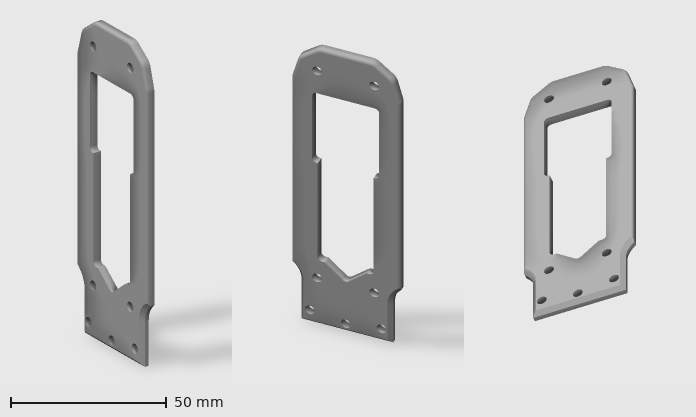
import cadquery as cq
import math

height = 113.5
width = 38.0
thickness = 3.0
half_width = width / 2

crown_half_width = 9.5
facet_corner_x = 16.6
facet_corner_drop = 5.3
facet_end_drop = 14.1
crown_radius = 4.0
facet_end_radius = 5.0

foot_half_width = 16.0
foot_top = 16.2
shoulder_radius = 8.0
shoulder_tip_radius = 1.4

rim_radius = 1.08
foot_chamfer = 1.5
chamfer_overrun = 6.8

window_top = height - 18.2
window_step = 66.6
window_bottom = 26.7
window_tip = 20.5
upper_half_width = 11.7
lower_half_width = 9.8
tip_half_width = 7.3
window_corner_radius = 1.6
window_tip_radius = 1.6

hole_diameter = 3.4
inner_hole_x = 10.0
top_hole_z = height - 9.0
shoulder_hole_z = 19.5
foot_hole_x = 12.5
foot_hole_z = 5.6
center_hole_z = 3.7

shoulder_angle = math.acos(1 - (half_width - foot_half_width) / (shoulder_radius + shoulder_tip_radius))


def shoulder_arc_point(angle):
    """Point on the right concave arc, measured from its tangent with the foot."""
    x = foot_half_width + shoulder_radius * (1 - math.cos(angle))
    z = foot_top + shoulder_radius * math.sin(angle)
    return x, z


def mirrored(point):
    return -point[0], point[1]


def vertical_edges_at(body, points):
    """Through-thickness edges standing at the given XZ points, on both sides."""
    def is_wanted(edge):
        center = edge.Center()
        return any(math.hypot(abs(center.x) - x, center.z - z) < 0.01 for x, z in points)

    return body.newObject([e for e in body.edges("|Y").vals() if is_wanted(e)])


def extrude_through(sketch):
    """Fill the plate thickness from Y = 0 to Y = thickness."""
    return sketch.extrude(-thickness)


def make_blank():
    crown = (crown_half_width, height)
    facet_corner = (facet_corner_x, height - facet_corner_drop)
    facet_end = (half_width, height - facet_end_drop)
    arc_middle = shoulder_arc_point(shoulder_angle / 2)
    arc_end = shoulder_arc_point(shoulder_angle)
    tip_middle = (
        half_width - shoulder_tip_radius * (1 - math.cos(shoulder_angle / 2)),
        arc_end[1] + shoulder_tip_radius * (math.sin(shoulder_angle) - math.sin(shoulder_angle / 2)),
    )
    side_bottom = (half_width, arc_end[1] + shoulder_tip_radius * math.sin(shoulder_angle))
    foot_corner = (foot_half_width, foot_top)
    outline = (
        cq.Workplane("XZ")
        .moveTo(-foot_half_width, 0)
        .lineTo(foot_half_width, 0)
        .lineTo(*foot_corner)
        .threePointArc(arc_middle, arc_end)
        .threePointArc(tip_middle, side_bottom)
        .lineTo(*facet_end)
        .lineTo(*facet_corner)
        .lineTo(*crown)
        .lineTo(*mirrored(crown))
        .lineTo(*mirrored(facet_corner))
        .lineTo(*mirrored(facet_end))
        .lineTo(*mirrored(side_bottom))
        .threePointArc(mirrored(tip_middle), mirrored(arc_end))
        .threePointArc(mirrored(arc_middle), mirrored(foot_corner))
        .close()
    )
    blank = extrude_through(outline)
    blank = vertical_edges_at(blank, [crown, facet_corner]).fillet(crown_radius)
    return vertical_edges_at(blank, [facet_end]).fillet(facet_end_radius)


def make_window():
    right_points = [
        (upper_half_width, window_top),
        (upper_half_width, window_step),
        (lower_half_width, window_step),
        (lower_half_width, window_bottom),
        (tip_half_width, window_bottom),
    ]
    left_points = [mirrored(p) for p in reversed(right_points)]
    tip = (0, window_tip)
    window = extrude_through(cq.Workplane("XZ").polyline(right_points + [tip] + left_points).close())
    rounded = [right_points[0], right_points[1], right_points[3]]
    window = vertical_edges_at(window, rounded).fillet(window_corner_radius)
    return vertical_edges_at(window, [tip]).fillet(window_tip_radius)


def make_holes():
    centers = [(0, center_hole_z)]
    for side in (-1, 1):
        centers.append((side * inner_hole_x, top_hole_z))
        centers.append((side * inner_hole_x, shoulder_hole_z))
        centers.append((side * foot_hole_x, foot_hole_z))
    return extrude_through(cq.Workplane("XZ").pushPoints(centers).circle(hole_diameter / 2))


def make_foot_chamfer_envelope():
    """Chamfered body that matches the foot and shoulder arcs and clears the plate elsewhere.

    The shoulder arcs run on outward along their end tangents, so the chamfer
    runs out past the plate sides and meets their rounded rim in a mitre.
    """
    arc_middle = shoulder_arc_point(shoulder_angle / 2)
    arc_end = shoulder_arc_point(shoulder_angle)
    outer = (
        arc_end[0] + chamfer_overrun * math.sin(shoulder_angle),
        arc_end[1] + chamfer_overrun * math.cos(shoulder_angle),
    )
    top = (outer[0], height + chamfer_overrun)
    foot_corner = (foot_half_width, foot_top)
    outline = (
        cq.Workplane("XZ")
        .moveTo(-foot_half_width, 0)
        .lineTo(foot_half_width, 0)
        .lineTo(*foot_corner)
        .threePointArc(arc_middle, arc_end)
        .lineTo(*outer)
        .lineTo(*top)
        .lineTo(*mirrored(top))
        .lineTo(*mirrored(outer))
        .lineTo(*mirrored(arc_end))
        .threePointArc(mirrored(arc_middle), mirrored(foot_corner))
        .close()
    )
    return extrude_through(outline).faces("<Y").edges().chamfer(foot_chamfer)


rimmed = make_blank().faces("<Y").edges().fillet(rim_radius)
plate = rimmed.intersect(make_foot_chamfer_envelope())
result = plate.cut(make_window()).cut(make_holes())